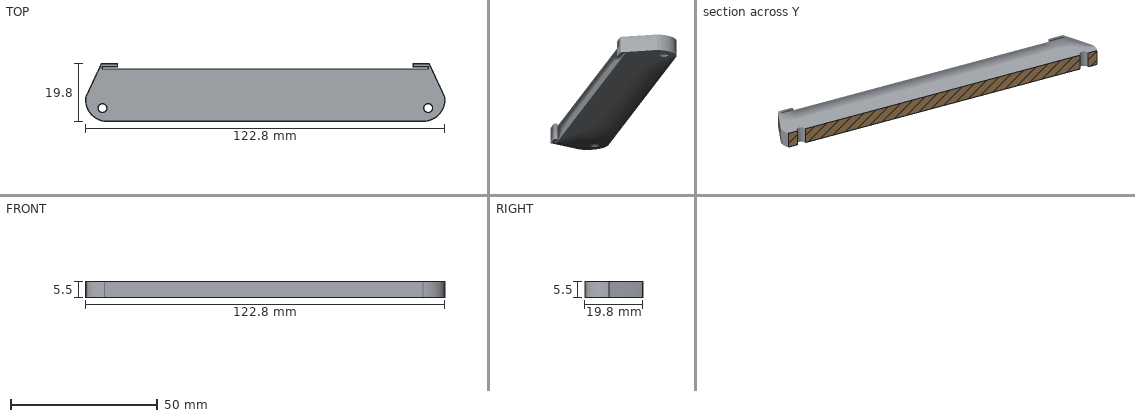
import cadquery as cq
import math

length = 122.8
width = 19.8
thickness = 5.5

hook_corner_x = 56.0
hook_tip_x = 50.5
hook_thickness = 1.1
slot_width = 0.7
slot_end_x = 55.6

corner_radius = 7.5
left_corner_front_x = 55.0
left_corner_top_y = 6.8
flank_foot_y = 8.2

hole_x = 55.6
hole_y = 4.5
hole_diameter = 3.0

half_length = length / 2
hook_under_y = width - hook_thickness
back_edge_y = hook_under_y - slot_width
right_corner_x = half_length - corner_radius
right_foot_x = right_corner_x + math.sqrt(corner_radius**2 - (flank_foot_y - corner_radius) ** 2)


def bar_outline():
    return (
        cq.Workplane("XY")
        .moveTo(-left_corner_front_x, 0)
        .lineTo(right_corner_x, 0)
        .threePointArc((half_length, corner_radius), (right_foot_x, flank_foot_y))
        .lineTo(hook_corner_x, width)
        .lineTo(hook_tip_x, width)
        .lineTo(hook_tip_x, hook_under_y)
        .lineTo(slot_end_x, hook_under_y)
        .lineTo(slot_end_x, back_edge_y)
        .lineTo(-slot_end_x, back_edge_y)
        .lineTo(-slot_end_x, hook_under_y)
        .lineTo(-hook_tip_x, hook_under_y)
        .lineTo(-hook_tip_x, width)
        .lineTo(-hook_corner_x, width)
        .lineTo(-half_length, flank_foot_y)
        .lineTo(-half_length, left_corner_top_y)
        .radiusArc((-left_corner_front_x, 0), -corner_radius)
        .close()
    )


def pivot_holes():
    return (
        cq.Workplane("XY")
        .pushPoints([(-hole_x, hole_y), (hole_x, hole_y)])
        .circle(hole_diameter / 2)
        .extrude(thickness)
    )


bar = bar_outline().extrude(thickness)
result = bar.cut(pivot_holes())